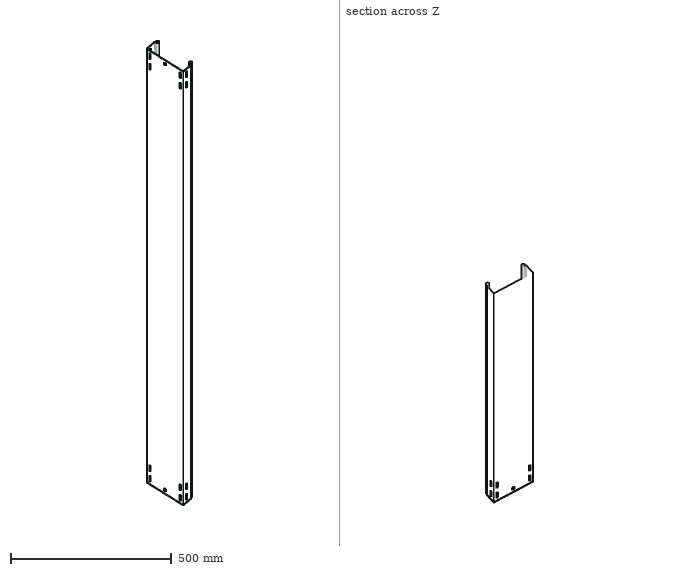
import cadquery as cq
import math

LENGTH = 2000.0
WIDTH = 150.0
HEIGHT = 50.0
SHEET = 1.2

LEDGE_BEND_RADIUS = 3.0

CURL_RADIUS = 5.5
CURL_OFFSET = 7.5
CURL_SWEEP = 270

SLOT_WIDTH = 5.0
SLOT_LENGTH = 25.0
SLOT_END_DISTANCE = 25.0
SLOT_SPACING = 48.0
BASE_SLOT_INSET = 13.0
WALL_SLOT_HEIGHT = 17.0

END_HOLE_DIAMETER = 10.0
END_HOLE_DISTANCE = 18.0

HALF_WIDTH = WIDTH / 2
HALF_LENGTH = LENGTH / 2
BASE_Y = -HEIGHT / 2
TOP_Y = HEIGHT / 2


def on_circle(centre, radius, degrees):
    """Point on a circle at an angle measured from +X."""
    angle = math.radians(degrees)
    return (centre[0] + radius * math.cos(angle), centre[1] + radius * math.sin(angle))


def add_arc(path, centre, radius, start, end):
    """Continue the path from its current point along a circle between two angles."""
    return path.threePointArc(on_circle(centre, radius, (start + end) / 2), on_circle(centre, radius, end))


def make_half_channel():
    """Left half: half the base, the side wall, and the curl with its slit facing outward."""
    outer_x = -HALF_WIDTH
    curl = (outer_x + CURL_OFFSET, TOP_Y - CURL_RADIUS)
    ledge_top = TOP_Y - 2 * CURL_RADIUS + SHEET
    ledge_bend = (outer_x + LEDGE_BEND_RADIUS, ledge_top - LEDGE_BEND_RADIUS)
    curl_start = -90
    curl_end = curl_start + CURL_SWEEP

    path = cq.Workplane("XY", origin=(0, 0, -HALF_LENGTH)).moveTo(0, BASE_Y)
    path = path.lineTo(outer_x, BASE_Y)
    path = path.lineTo(outer_x, ledge_bend[1])
    path = add_arc(path, ledge_bend, LEDGE_BEND_RADIUS, 180, 90)
    path = path.lineTo(curl[0], ledge_top)
    path = add_arc(path, curl, CURL_RADIUS - SHEET, curl_start, curl_end)
    path = path.lineTo(*on_circle(curl, CURL_RADIUS, curl_end))
    path = add_arc(path, curl, CURL_RADIUS, curl_end, curl_start)
    path = path.lineTo(ledge_bend[0], ledge_top - SHEET)
    path = add_arc(path, ledge_bend, LEDGE_BEND_RADIUS - SHEET, 90, 180)
    path = path.lineTo(outer_x + SHEET, BASE_Y + SHEET)
    path = path.lineTo(0, BASE_Y + SHEET)
    return path.close().extrude(LENGTH)


def make_base_cutters(slot_heights):
    """Slots and end holes, deep enough to pierce the base only."""
    slot_x = HALF_WIDTH - BASE_SLOT_INSET
    slots = [(x, z) for x in (-slot_x, slot_x) for z in slot_heights]
    holes = [(0, end * (HALF_LENGTH - END_HOLE_DISTANCE)) for end in (-1, 1)]
    base = cq.Workplane("XZ", origin=(0, BASE_Y, 0))
    depth = 2 * SHEET
    slot_cutters = base.pushPoints(slots).slot2D(SLOT_LENGTH, SLOT_WIDTH, 90).extrude(depth, both=True)
    hole_cutters = base.pushPoints(holes).circle(END_HOLE_DIAMETER / 2).extrude(depth, both=True)
    return slot_cutters.union(hole_cutters)


def make_wall_cutters(slot_heights):
    """Slots passing through both side walls."""
    centres = [(BASE_Y + WALL_SLOT_HEIGHT, z) for z in slot_heights]
    walls = cq.Workplane("YZ").pushPoints(centres)
    return walls.slot2D(SLOT_LENGTH, SLOT_WIDTH, 90).extrude(WIDTH, both=True)


half = make_half_channel()
channel = half.union(half.mirror("YZ"))
slot_distances = (SLOT_END_DISTANCE, SLOT_END_DISTANCE + SLOT_SPACING)
slot_z = [end * (HALF_LENGTH - distance) for end in (-1, 1) for distance in slot_distances]
result = channel.cut(make_base_cutters(slot_z)).cut(make_wall_cutters(slot_z))